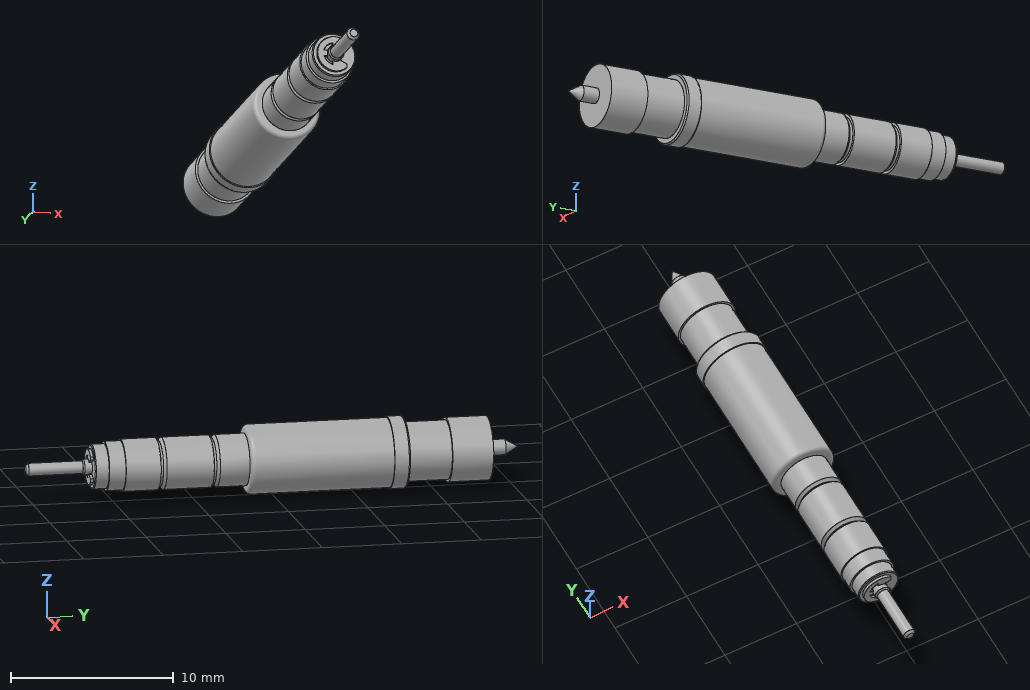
import cadquery as cq
import math

LENGTH = 31.0

PIN_DIA = 0.8
PIN_CHAMFER = 0.15
PIN_LENGTH = 3.55
SHOULDER_DIA = 1.0
SHOULDER_CHAMFER = (SHOULDER_DIA - PIN_DIA) / 2

RING_REAR = 3.95
RING_THICKNESS = 0.2
RING_RADIUS = 1.12
RING_POCKET_RADIUS = 0.7
RING_ARM_END = 0.78
MOUTH_INNER = (0.4, 0.4)
MOUTH_HALF_WIDTH = 0.6
POCKET_END_ANGLE = 100.0
TOOTH_HALF_WIDTH = 0.2

BARREL_REAR = RING_REAR + RING_THICKNESS
NOSE_DIA = 2.8
NOSE_CHAMFER = 0.05
STEP_REAR = 5.0
STEP_DIA = 3.07
SLEEVE_REAR = 6.0
SLEEVE_DIA = 3.25

GROOVE_REARS = (8.2, 11.55)
GROOVE_FLOOR = 0.2
GROOVE_DEPTH = 0.2

BODY_REAR = 13.8
BODY_DIA = 4.35
BODY_EDGE = 0.28
COLLAR_REAR = 22.8
COLLAR_DIA = 4.5
COLLAR_CHAMFER = 0.1
COLLAR_FRONT = 23.78
NECK_DIA = 3.7
HEAD_REAR = 26.47
HEAD_FRONT = 29.05
HEAD_DIA = 4.0
TIP_DIA = 1.0
TIP_CONE_ANGLE = 60.0
TIP_CONE_LENGTH = TIP_DIA / 2 / math.tan(math.radians(TIP_CONE_ANGLE / 2))


def cylinder(diameter, rear, front):
    """Round step along Y from rear to front."""
    return cq.Workplane("XZ", origin=(0, rear, 0)).circle(diameter / 2).extrude(rear - front)


def sleeve_groove(rear):
    """Ring-shaped cutter for one groove in the sleeve."""
    outer = SLEEVE_DIA / 2
    floor = outer - GROOVE_DEPTH
    slope_start = rear + GROOVE_FLOOR
    profile = [(outer, rear), (floor, rear), (floor, slope_start), (outer, slope_start + GROOVE_DEPTH)]
    return cq.Workplane("XY").polyline(profile).close().revolve(360, (0, 0, 0), (0, 1, 0))


def rear_pin():
    pin = cylinder(PIN_DIA, 0, BARREL_REAR).faces("<Y").chamfer(PIN_CHAMFER)
    shoulder = cylinder(SHOULDER_DIA, PIN_LENGTH, BARREL_REAR).faces("<Y").chamfer(SHOULDER_CHAMFER)
    return pin.union(shoulder)


def barrel():
    sleeve = cylinder(SLEEVE_DIA, SLEEVE_REAR, BODY_REAR)
    for rear in GROOVE_REARS:
        sleeve = sleeve.cut(sleeve_groove(rear))
    nose = cylinder(NOSE_DIA, BARREL_REAR, STEP_REAR).faces("<Y").chamfer(NOSE_CHAMFER)
    step = cylinder(STEP_DIA, STEP_REAR, SLEEVE_REAR)
    return nose.union(step).union(sleeve)


def ring_plane():
    """Fresh sketch plane on the barrel end, facing the pin."""
    return cq.Workplane("XZ", origin=(0, BARREL_REAR, 0))


def snap_ring():
    """E-shaped ring with its mouth toward +X and a tooth on the -X side of the shoulder."""
    inner_x, inner_z = MOUTH_INNER
    ring = ring_plane().circle(RING_RADIUS).extrude(RING_THICKNESS)
    beyond_arms = ring_plane().center(RING_ARM_END + RING_RADIUS, 0).rect(2 * RING_RADIUS, 2 * RING_RADIUS)
    mouth = ring_plane().polyline([
        (0, 0),
        (inner_x, inner_z),
        (RING_ARM_END, MOUTH_HALF_WIDTH),
        (RING_ARM_END, -MOUTH_HALF_WIDTH),
        (inner_x, -inner_z),
    ]).close()
    mouth = mouth.extrude(RING_THICKNESS)
    ring = ring.cut(beyond_arms.extrude(RING_THICKNESS)).cut(mouth)

    end_angle = math.radians(POCKET_END_ANGLE)
    pocket_x = RING_POCKET_RADIUS * math.cos(end_angle)
    pocket_z = RING_POCKET_RADIUS * math.sin(end_angle)
    pocket = (
        ring_plane()
        .moveTo(pocket_x, pocket_z)
        .threePointArc((-RING_POCKET_RADIUS, 0), (pocket_x, -pocket_z))
        .close()
        .extrude(RING_THICKNESS)
    )
    tooth = ring_plane().center(-RING_POCKET_RADIUS / 2, 0).rect(RING_POCKET_RADIUS, 2 * TOOTH_HALF_WIDTH)
    return ring.cut(pocket.cut(tooth.extrude(RING_THICKNESS)))


def body():
    main = cylinder(BODY_DIA, BODY_REAR, COLLAR_REAR).faces("<Y").edges().fillet(BODY_EDGE)
    collar = cylinder(COLLAR_DIA, COLLAR_REAR, COLLAR_FRONT).faces(">Y").chamfer(COLLAR_CHAMFER)
    neck = cylinder(NECK_DIA, COLLAR_FRONT, HEAD_REAR)
    head = cylinder(HEAD_DIA, HEAD_REAR, HEAD_FRONT)
    return main.union(collar).union(neck).union(head)


def pointed_tip():
    radius = TIP_DIA / 2
    profile = [(0, HEAD_FRONT), (radius, HEAD_FRONT), (radius, LENGTH - TIP_CONE_LENGTH), (0, LENGTH)]
    return cq.Workplane("XY").polyline(profile).close().revolve(360, (0, 0, 0), (0, 1, 0))


result = rear_pin().union(snap_ring()).union(barrel()).union(body()).union(pointed_tip())